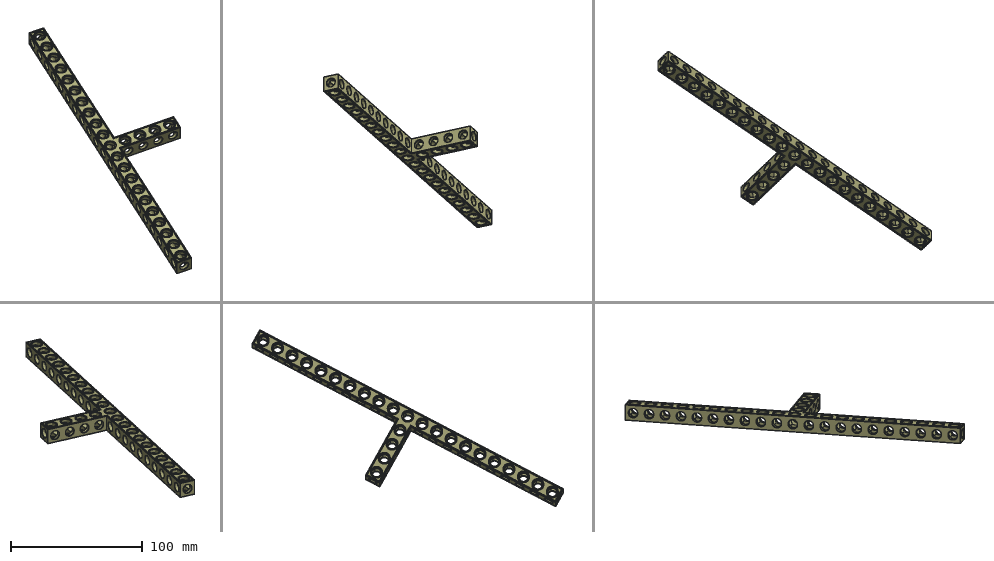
import cadquery as cq

PITCH = 12.5
BAR_HOLES = 21
STEM_HOLES = 4
HOLE_DIAMETER = 7.0
BOSS_DIAMETER = 9.2
RECESS_DEPTH = 0.3
CHAMFER = 0.3

HALF = PITCH / 2
BAR_LENGTH = BAR_HOLES * PITCH
STEM_TIP = HALF + STEM_HOLES * PITCH
WALL = (BOSS_DIAMETER - HOLE_DIAMETER) / 2

BAR_X = [(i - (BAR_HOLES - 1) / 2) * PITCH for i in range(BAR_HOLES)]
STEM_Y = [(i + 1) * PITCH for i in range(STEM_HOLES)]
TOP_POINTS = [(x, 0) for x in BAR_X] + [(0, y) for y in STEM_Y]


def tee(inset, height):
    """T-shaped slab standing on Z = 0, its outline moved inwards by the inset."""
    bar_end = BAR_LENGTH / 2 - inset
    side = HALF - inset
    tip = STEM_TIP - inset
    outline = [
        (-bar_end, -side),
        (bar_end, -side),
        (bar_end, side),
        (side, side),
        (side, tip),
        (-side, tip),
        (-side, side),
        (-bar_end, side),
    ]
    return cq.Workplane("XY").polyline(outline).close().extrude(height)


def beam_blank():
    """Square-section T beam with its outer edges chamfered; the two inner corners stay sharp."""
    blank = tee(0, PITCH).translate((0, 0, -HALF))
    return blank.edges("<X or >X or >Y or >Z or <Z").chamfer(CHAMFER)


def top_recess():
    """Recess in the top face that leaves a rim and a ring-shaped boss round every hole."""
    bosses = cq.Workplane("XY").pushPoints(TOP_POINTS).circle(BOSS_DIAMETER / 2).extrude(RECESS_DEPTH)
    return tee(WALL, RECESS_DEPTH).cut(bosses).translate((0, 0, HALF - RECESS_DEPTH))


def hole_cutter(start, end):
    """Through-hole cutter along Z between two faces, flared at both mouths."""
    radius = HOLE_DIAMETER / 2
    mouth = radius + CHAMFER
    profile = [
        (0, start),
        (mouth, start),
        (radius, start + CHAMFER),
        (radius, end - CHAMFER),
        (mouth, end),
        (0, end),
    ]
    return cq.Workplane("XZ").polyline(profile).close().revolve(360, (0, 0, 0), (0, 1, 0))


def cutter_along_x(half_length):
    return hole_cutter(-half_length, half_length).rotate((0, 0, 0), (0, 1, 0), 90)


def cutter_along_y(end):
    return hole_cutter(-HALF, end).rotate((0, 0, 0), (1, 0, 0), -90)


def cut_vertical_holes(body):
    cutter = hole_cutter(-HALF, HALF)
    for x, y in TOP_POINTS:
        body = body.cut(cutter.translate((x, y, 0)))
    return body


def cut_holes_along_y(body):
    """Cross holes through the bar; the middle one runs on to the tip of the stem."""
    for x in BAR_X:
        end = STEM_TIP if x == 0 else HALF
        body = body.cut(cutter_along_y(end).translate((x, 0, 0)))
    return body


def cut_holes_along_x(body):
    """One hole down the full length of the bar and a cross hole at each stem position."""
    body = body.cut(cutter_along_x(BAR_LENGTH / 2))
    for y in STEM_Y:
        body = body.cut(cutter_along_x(HALF).translate((0, y, 0)))
    return body


beam = beam_blank().cut(top_recess()).cut(top_recess().mirror("XY"))
beam = cut_holes_along_x(beam)
beam = cut_holes_along_y(beam)
result = cut_vertical_holes(beam).solids()